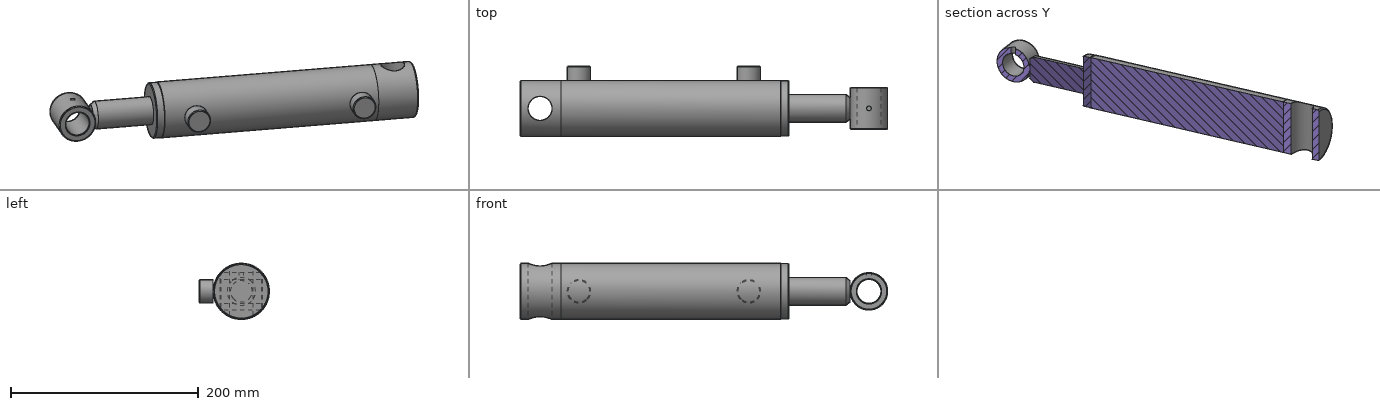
import cadquery as cq


barrel_radius = 30.0
head_radius = 29.7
cap_length = 44.0
tube_length = 234.0
head_length = 9.0
cap_chamfer = 1.5
head_rear_chamfer = 0.5
head_front_chamfer = 1.0

pin_diameter = 25.4
cap_pin_x = 21.6

port_diameter = 25.0
port_length = 15.0
port_chamfer = 1.0
first_port_x = 63.0
port_spacing = 181.0

rod_radius = 15.0
rod_taper_length = 4.5
rod_tip_radius = 11.5

eye_diameter = 40.0
eye_width = 45.0
eye_outer_chamfer = 1.0
eye_bore_chamfer = 0.8
grease_hole_diameter = 5.0
overall_length = 392.0

tube_start = cap_length
head_start = tube_start + tube_length
rod_start = head_start + head_length
eye_x = overall_length - eye_diameter / 2
rod_end = eye_x - eye_diameter / 2


def axial_cylinder(start, length, radius):
    """Solid cylinder on the X axis."""
    return cq.Workplane("YZ", origin=(start, 0, 0)).circle(radius).extrude(length)


def make_end_cap():
    cap = axial_cylinder(0, cap_length, barrel_radius)
    cap = cap.faces("<X").chamfer(cap_chamfer)
    pin_hole = (
        cq.Workplane("XY", origin=(cap_pin_x, 0, -barrel_radius))
        .circle(pin_diameter / 2)
        .extrude(2 * barrel_radius)
    )
    return cap.cut(pin_hole)


def make_tube():
    return axial_cylinder(tube_start, tube_length, barrel_radius)


def make_head():
    head = axial_cylinder(head_start, head_length, head_radius)
    head = head.faces("<X").chamfer(head_rear_chamfer)
    return head.faces(">X").chamfer(head_front_chamfer)


def make_port(x):
    """Round port whose flat base touches the tube along its +Y side."""
    port = (
        cq.Workplane("XZ", origin=(x, barrel_radius, 0))
        .circle(port_diameter / 2)
        .extrude(-port_length)
    )
    return port.faces(">Y").chamfer(port_chamfer)


def make_rod():
    """Rod from the head to the eye, with a conical tip."""
    taper_start = rod_end - rod_taper_length
    half_profile = (
        cq.Workplane("XY")
        .moveTo(rod_start, 0)
        .lineTo(rod_start, rod_radius)
        .lineTo(taper_start, rod_radius)
        .lineTo(rod_end, rod_tip_radius)
        .lineTo(rod_end, 0)
        .close()
    )
    return half_profile.revolve(360, (0, 0, 0), (1, 0, 0))


def make_rod_eye():
    eye_plane = cq.Workplane("XZ", origin=(eye_x, eye_width / 2, 0))
    eye = eye_plane.circle(eye_diameter / 2).extrude(eye_width)
    eye = eye.faces("<Y or >Y").chamfer(eye_outer_chamfer)
    bore = eye_plane.circle(pin_diameter / 2).extrude(eye_width)
    eye = eye.cut(bore)
    smallest_circles = cq.selectors.RadiusNthSelector(0)
    eye = eye.faces("<Y or >Y").edges(smallest_circles).chamfer(eye_bore_chamfer)
    grease_hole = (
        cq.Workplane("XY", origin=(eye_x, 0, 0))
        .circle(grease_hole_diameter / 2)
        .extrude(eye_diameter / 2)
    )
    return eye.cut(grease_hole)


end_cap = make_end_cap()
tube = make_tube()
head = make_head()
ports = [make_port(first_port_x + i * port_spacing) for i in range(2)]
rod = make_rod()
rod_eye = make_rod_eye()

result = cq.Compound.makeCompound(
    [
        end_cap.val(),
        tube.val(),
        head.val(),
        *[port.val() for port in ports],
        rod.val(),
        rod_eye.val(),
    ]
)